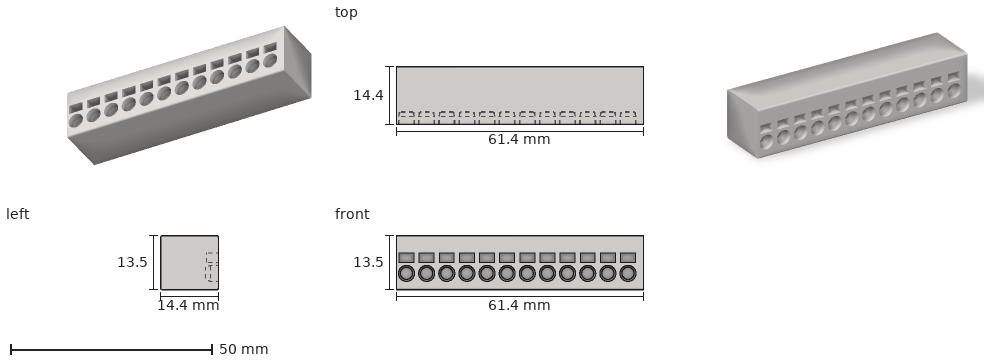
import cadquery as cq

length = 61.4
depth = 14.4
height = 13.5
edge_radius = 0.5

pole_count = 12
pole_pitch = 5.0
first_pole_x = 2.5

entry_z = 4.1
mouth_diameter = 4.0
mouth_depth = 2.0
floor_diameter = 3.0
funnel_length = 1.3

slot_width = 3.7
slot_height = 2.4
slot_center_z = 7.95
slot_depth = 3.0


def make_housing():
    """Block with its four lengthwise edges rounded."""
    block = cq.Workplane("XY").box(length, depth, height, centered=False)
    return block.edges("|X").fillet(edge_radius)


def make_wire_entry(pole_x):
    """Mouth and funnel, revolved about an axis running along +Y."""
    mouth_radius = mouth_diameter / 2
    floor_radius = floor_diameter / 2
    entry_depth = mouth_depth + funnel_length
    half_section = (
        cq.Workplane("XY")
        .moveTo(0, 0)
        .lineTo(mouth_radius, 0)
        .lineTo(mouth_radius, mouth_depth)
        .lineTo(floor_radius, entry_depth)
        .lineTo(0, entry_depth)
        .close()
    )
    entry = half_section.revolve(360, (0, 0, 0), (0, 1, 0))
    return entry.translate((pole_x, 0, entry_z))


def make_release_slot(pole_x):
    """Rectangular pocket reaching inward from the front face."""
    slot = cq.Workplane("XY").box(slot_width, slot_depth, slot_height, centered=(True, False, True))
    return slot.translate((pole_x, 0, slot_center_z))


result = make_housing()
for pole in range(pole_count):
    pole_x = first_pole_x + pole * pole_pitch
    result = result.cut(make_wire_entry(pole_x))
    result = result.cut(make_release_slot(pole_x))